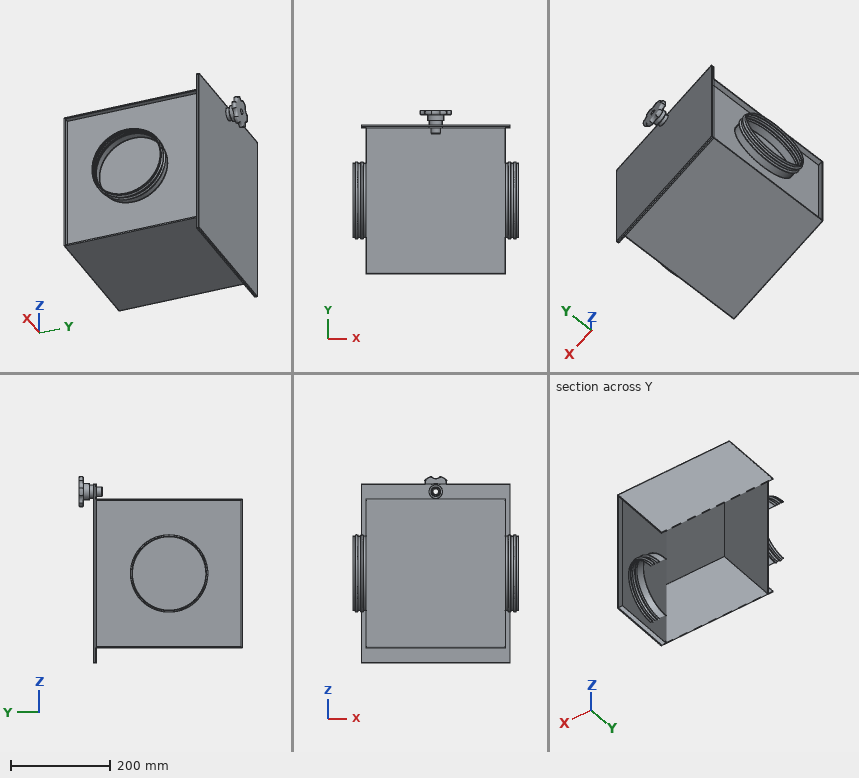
import cadquery as cq
import math


plate_width = 300.0
plate_height = 360.0
sheet = 3.0

housing_width = 280.5
housing_depth = 294.5
housing_height = 300.0
panel_recess = 10.5

spigot_span = 334.0
spigot_from_flange = 146.5
spigot_radius = 75.0
spigot_wall = 1.0
bead_radius = 3.0
bead_offsets = (7.5, 18.5)

knob_below_plate_top = 15.0
lobe_count = 6
grip_radius = 32.0
grip_thickness = 9.0
grip_fillet = 3.0
scallop_radius = 11.0
scallop_depth = 5.5
hub_radius = 16.5
hub_length = 12.0
collar_radius = 13.5
collar_gap = 8.3
tip_radius = 9.8
tip_length = 12.0
tip_chamfer = 1.5
knob_bore_radius = 5.5

panel_face = housing_width / 2 - panel_recess
spigot_reach = spigot_span / 2
flange_back = sheet
cover_back = 2 * sheet
knob_z = plate_height / 2 - knob_below_plate_top
hub_front = cover_back + collar_gap
grip_front = hub_front + hub_length


def block(width, depth, height, center):
    return cq.Workplane("XY").box(width, depth, height).translate(center)


def disc(radius, y_start, length):
    """Cylinder on the knob axis that runs from y_start towards +Y."""
    solid = cq.Solid.makeCylinder(radius, length, cq.Vector(0, y_start, knob_z), cq.Vector(0, 1, 0))
    return cq.Workplane(solid)


def make_housing():
    middle = (0, -housing_depth / 2, 0)
    body = block(housing_width, housing_depth, housing_height, middle)
    body = body.faces("<Y").edges("|X").fillet(sheet)

    inner_depth = housing_depth - sheet
    inner_height = housing_height - 2 * sheet
    inner_center = (0, -inner_depth / 2, 0)
    body = body.cut(block(housing_width, inner_depth, inner_height, inner_center))

    side_panels = block(2 * panel_face, inner_depth, inner_height, inner_center)
    cavity = block(2 * (panel_face - sheet), inner_depth, inner_height, inner_center)
    return body.union(side_panels.cut(cavity))


def make_plate(y_start):
    plate = block(plate_width, sheet, plate_height, (0, y_start + sheet / 2, 0))
    return plate.cut(disc(collar_radius, y_start, sheet))


def make_spigot(side):
    """Thin tube with two rolled beads; side is -1 or +1 along X."""
    outer = spigot_radius
    inner = spigot_radius - spigot_wall
    groove_radius = bead_radius - spigot_wall
    bead_places = [spigot_reach - offset for offset in bead_offsets]

    section = cq.Workplane("XZ").moveTo(spigot_reach, inner).lineTo(spigot_reach, outer)
    for x in bead_places:
        section = section.lineTo(x + bead_radius, outer)
        section = section.threePointArc((x, outer + bead_radius), (x - bead_radius, outer))
    section = section.lineTo(panel_face, outer).lineTo(panel_face, inner)
    for x in reversed(bead_places):
        section = section.lineTo(x - groove_radius, inner)
        section = section.threePointArc((x, inner + groove_radius), (x + groove_radius, inner))
    tube = section.close().revolve(360, (0, 0, 0), (1, 0, 0))

    if side < 0:
        tube = tube.mirror("YZ")
    return tube.translate((0, -spigot_from_flange, 0))


def make_grip():
    """Hand wheel with a scallop between each pair of lobes, the first one straight up."""
    grip = disc(grip_radius, grip_front, grip_thickness)
    scallop_orbit = grip_radius - scallop_depth + scallop_radius
    for i in range(lobe_count):
        angle = 2 * math.pi * i / lobe_count
        place = (scallop_orbit * math.sin(angle), 0, scallop_orbit * math.cos(angle))
        grip = grip.cut(disc(scallop_radius, grip_front, grip_thickness).translate(place))
    return grip.faces("<Y or >Y").edges().fillet(grip_fillet)


def make_knob():
    tip = disc(tip_radius, -tip_length, tip_length).faces("<Y").chamfer(tip_chamfer)
    collar = disc(collar_radius, 0, hub_front)
    hub = disc(hub_radius, hub_front, hub_length)
    knob = make_grip().union(hub).union(collar).union(tip)
    knob_length = tip_length + grip_front + grip_thickness
    return knob.cut(disc(knob_bore_radius, -tip_length, knob_length))


housing = make_housing()
flange = make_plate(0)
cover = make_plate(flange_back)
spigots = [make_spigot(side) for side in (-1, 1)]
knob = make_knob()

result = cq.Compound.makeCompound(
    [housing.val(), flange.val(), cover.val(), *[spigot.val() for spigot in spigots], knob.val()]
)